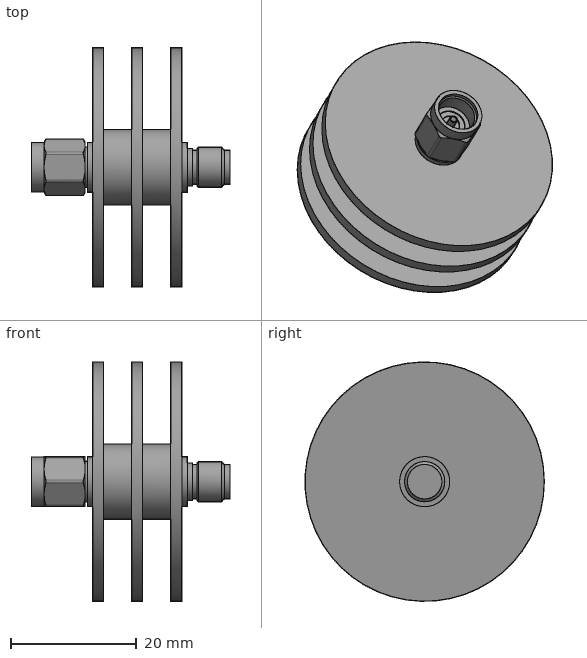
import cadquery as cq
import math


fin_diameter = 38
fin_thickness = 1.75
fin_pitch = 6.2
fin_count = 3
first_fin_start = 9.73
last_fin_end = first_fin_start + (fin_count - 1) * fin_pitch + fin_thickness
body_diameter = 12.0

collar_diameter = 7.9
across_flats = 7.95
corner_fillet = 0.5
nut_hex_start = 2.0
nut_hex_end = 8.55
nut_chamfer_angle = 30

neck_diameter = 6.5
shoulder_start = 8.9
shoulder_diameter = 7.95

mouth_diameter = 6.55
mouth_depth = 0.6
bore_diameter = 6.08
bore_start = 0.85
bore_depth = 3.5
socket_diameter = 4.55
socket_depth = 3.7
inner_socket_diameter = 2.93
inner_socket_depth = 3.88
pin_diameter = 1.3
pin_shoulder = 2.3
pin_cone_diameter = 0.9
pin_tip = 1.9

jack_flange_end = 24.75
jack_flange_diameter = shoulder_diameter
jack_step_end = 25.57
jack_step_diameter = 6.0
jack_relief_diameter = 5.47
thread_diameter = 6.4
thread_start = 26.25
thread_end = 30.63
thread_back_chamfer = 0.25
total_length = 31.55


def disc(diameter, start, end):
    """Round bar along X between two stations."""
    return cq.Workplane("YZ", origin=(start, 0, 0)).circle(diameter / 2).extrude(end - start)


def turned(profile):
    """Solid of revolution about X from (station, radius) points."""
    return cq.Workplane("XY").polyline(profile).close().revolve(360, (0, 0, 0), (1, 0, 0))


def fins():
    """Body with equally spaced round fins."""
    stack = disc(body_diameter, first_fin_start, last_fin_end)
    for index in range(fin_count):
        start = first_fin_start + index * fin_pitch
        stack = stack.union(disc(fin_diameter, start, start + fin_thickness))
    return stack


def coupling_nut():
    """Hexagon with rounded corners and conical end chamfers, plus a round front collar."""
    corner_diameter = across_flats / math.cos(math.pi / 6)
    hexagon = (
        cq.Workplane("YZ", origin=(nut_hex_start, 0, 0))
        .polygon(6, corner_diameter)
        .extrude(nut_hex_end - nut_hex_start)
        .edges("|X")
        .fillet(corner_fillet)
    )
    chamfer_depth = (corner_diameter - collar_diameter) / 2
    chamfer_length = chamfer_depth * math.tan(math.radians(nut_chamfer_angle))
    envelope = (
        disc(corner_diameter, nut_hex_start, nut_hex_end)
        .faces("<X or >X")
        .chamfer(chamfer_length, chamfer_depth)
    )
    return hexagon.intersect(envelope).union(disc(collar_diameter, 0, nut_hex_start))


def neck():
    """Narrow neck and wider shoulder joining the nut to the first fin."""
    narrow = disc(neck_diameter, nut_hex_end, shoulder_start)
    return narrow.union(disc(shoulder_diameter, shoulder_start, first_fin_start))


def nut_cavity():
    """Stepped bore with a conical lead-in and two shallow sockets, entered from the open face."""
    mouth_radius = mouth_diameter / 2
    bore_radius = bore_diameter / 2
    socket_radius = socket_diameter / 2
    inner_socket_radius = inner_socket_diameter / 2
    profile = [
        (0, 0),
        (0, mouth_radius),
        (mouth_depth, mouth_radius),
        (bore_start, bore_radius),
        (bore_depth, bore_radius),
        (bore_depth, socket_radius),
        (socket_depth, socket_radius),
        (socket_depth, inner_socket_radius),
        (inner_socket_depth, inner_socket_radius),
        (inner_socket_depth, 0),
    ]
    return turned(profile)


def centre_pin():
    """Round contact pin with a smaller conical point."""
    pin_radius = pin_diameter / 2
    profile = [
        (pin_tip, 0),
        (pin_shoulder, pin_cone_diameter / 2),
        (pin_shoulder, pin_radius),
        (first_fin_start, pin_radius),
        (first_fin_start, 0),
    ]
    return turned(profile)


def jack():
    """Flange, step, relief, chamfered thread and pilot."""
    flange = disc(jack_flange_diameter, last_fin_end, jack_flange_end)
    step = disc(jack_step_diameter, jack_flange_end, jack_step_end)
    core = disc(jack_relief_diameter, jack_step_end, total_length)
    thread_front_chamfer = (thread_diameter - jack_relief_diameter) / 2
    thread = (
        disc(thread_diameter, thread_start, thread_end)
        .faces(">X")
        .chamfer(thread_front_chamfer)
        .faces("<X")
        .chamfer(thread_back_chamfer)
    )
    return flange.union(step).union(core).union(thread)


body = fins().union(neck()).union(coupling_nut()).union(jack())
result = body.cut(nut_cavity()).union(centre_pin())